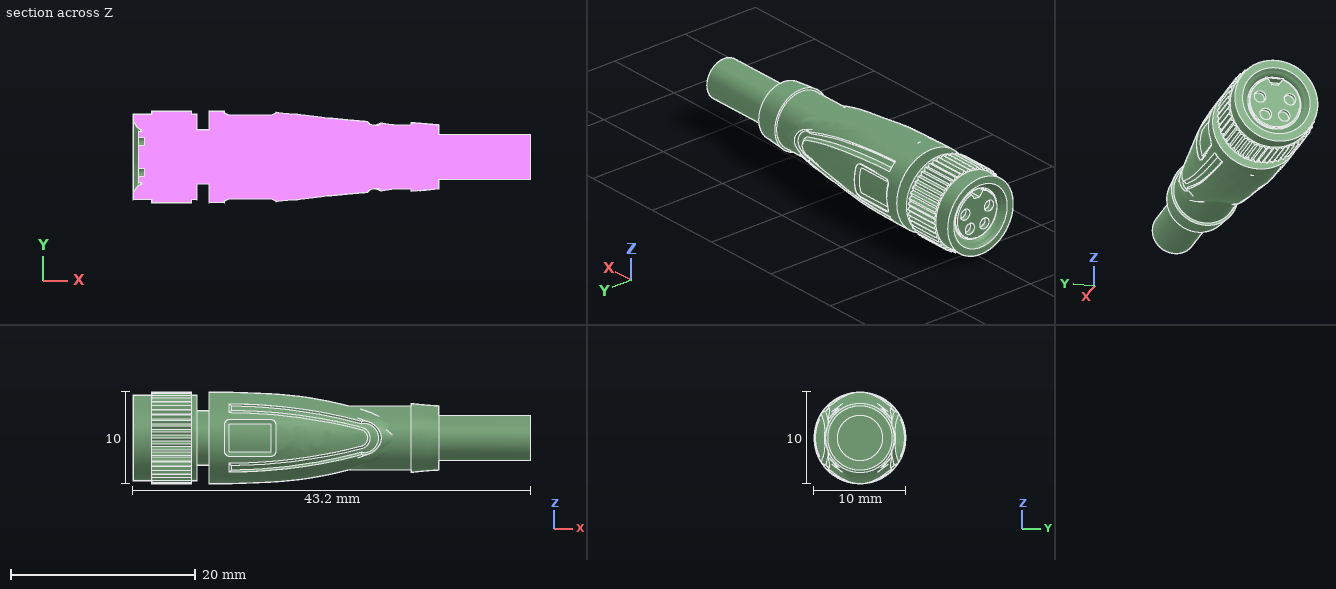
import cadquery as cq
import math


total_length = 43.2
knurl_start = 2.0
knurl_end = 6.35
nut_end = 6.95
grip_start = 8.2
taper_start = 10.32
taper_end = 28.5
collar_start = 30.2
cable_start = 33.2

body_radius = 10.0 / 2
nut_radius = 4.65
neck_radius = 3.0
tube_radius = 3.5
collar_radius = 3.75
cable_radius = 2.45

tooth_count = 48
tooth_root_radius = 4.7

mouth_radius = 3.8
lip_radius = 3.5
lip_depth = 0.25
lip_inner_radius = 3.0
lip_end_depth = 0.78
lip_bulge = 0.6
insert_radius = 2.8
insert_depth = 0.55
gap_depth = 0.9
pin_hole_radius = 0.65
pin_hole_depth = 0.65
pin_positions = [(1.7, 0.5), (-1.7, 0.5), (1.05, -1.43), (-1.05, -1.43)]
keyway_depth = 1.73
key_top = 2.9
key_bottom = 2.05
key_top_half_width = 1.0
key_bottom_half_width = 0.35

tip_side_radius = tube_radius - 0.05
tip_crest_drop = 0.015

grip_sections = [
    (taper_start, body_radius, body_radius, 0.1, 0.17),
    (12.1, 4.95, 4.92, 0.3, 0.7),
    (14.45, 4.92, 4.85, 0.6, 1.15),
    (20.75, 4.3, 4.1, 1.35, 2.7),
    (24.62, 3.95, 3.15, 1.6, 3.33),
    (taper_end, tip_side_radius, 2.07, 1.12, tip_side_radius - tip_crest_drop),
]

tube_blend = 0.15
tube_seam_start = 21.6

cutter_reach = body_radius + 0.45

groove_depth = 0.25
groove_wall_slope = 0.35
groove_middle = 17.93
groove_bend = 24.8
groove_outer = (3.7, 3.2, 1.85, 27.0)
groove_inner = (2.7, 2.2, 0.8, 25.4)

badge_floor_radius = 4.6
badge_center = 12.7
badge_length = 5.6
badge_height = 4.0
badge_corner = 0.6
badge_wall_rise = 0.25
badge_wall_run = 0.5


def cylinder(start, end, radius):
    return cq.Workplane("YZ", origin=(start, 0, 0)).circle(radius).extrude(end - start)


def knurl():
    half_pitch = math.pi / tooth_count
    points = []
    for i in range(2 * tooth_count):
        radius = tooth_root_radius if i % 2 else body_radius
        points.append((radius * math.cos(i * half_pitch), radius * math.sin(i * half_pitch)))
    outline = cq.Workplane("YZ", origin=(knurl_start, 0, 0)).polyline(points).close()
    return outline.extrude(knurl_end - knurl_start)


def grip_wire(x, side_radius, flat_height, flat_half, arc_half):
    """Flat top and bottom, round sides, and a Bezier blend tangent to both at each corner."""
    arc_z = math.sqrt(side_radius**2 - arc_half**2)
    corner_y = (side_radius**2 - flat_height * arc_z) / arc_half
    wire = (
        cq.Workplane("YZ", origin=(x, 0, 0))
        .moveTo(-flat_half, flat_height)
        .lineTo(flat_half, flat_height)
        .bezier([(flat_half, flat_height), (corner_y, flat_height), (arc_half, arc_z)])
        .threePointArc((side_radius, 0), (arc_half, -arc_z))
        .bezier([(arc_half, -arc_z), (corner_y, -flat_height), (flat_half, -flat_height)])
        .lineTo(-flat_half, -flat_height)
        .bezier([(-flat_half, -flat_height), (-corner_y, -flat_height), (-arc_half, -arc_z)])
        .threePointArc((-side_radius, 0), (-arc_half, arc_z))
        .bezier([(-arc_half, arc_z), (-corner_y, flat_height), (-flat_half, flat_height)])
        .close()
    )
    return wire.val()


def tapered_grip():
    wires = [grip_wire(*section) for section in grip_sections]
    return cq.Workplane(cq.Solid.makeLoft(wires))


def panel_prism(start_half, middle_half, bend_half, tip):
    """Tongue-shaped prism from the axis out to the -Y side, rounded at its narrow end."""
    return (
        cq.Workplane("XZ")
        .moveTo(taper_start, start_half)
        .threePointArc((groove_middle, middle_half), (groove_bend, bend_half))
        .threePointArc((tip, 0), (groove_bend, -bend_half))
        .threePointArc((groove_middle, -middle_half), (taper_start, -start_half))
        .close()
        .extrude(cutter_reach)
    )


def panel_grooves():
    ring = panel_prism(*groove_outer).cut(panel_prism(*groove_inner))
    floor_profile = [(x, side_radius - groove_depth) for x, side_radius, *_ in grip_sections]
    core = (
        cq.Workplane("XY")
        .moveTo(taper_start, 0)
        .lineTo(*floor_profile[0])
        .spline(floor_profile[1:], includeCurrent=True)
        .lineTo(taper_end, 0)
        .close()
        .revolve(360, (0, 0, 0), (1, 0, 0))
    )
    groove = ring.cut(core)
    groove = groove.faces(cq.selectors.TypeSelector("REVOLUTION")).edges().chamfer(groove_wall_slope)
    return groove.union(groove.mirror("XZ"))


def badge_pockets():
    rim = cq.Sketch().rect(badge_length, badge_height).vertices().fillet(badge_corner)
    block = cq.Workplane("XZ", origin=(badge_center, 0, 0)).placeSketch(rim).extrude(cutter_reach)
    pocket = block.cut(cylinder(grip_start, taper_end, badge_floor_radius))
    pocket = pocket.faces(">Y").edges().chamfer(badge_wall_run, badge_wall_rise)
    return pocket.union(pocket.mirror("XZ"))


def socket():
    """Everything removed from the front face around and inside the contact insert."""
    lip_middle = (
        lip_end_depth - (lip_end_depth - lip_depth) * lip_bulge,
        lip_radius - (lip_radius - lip_inner_radius) * lip_bulge,
    )
    mouth = (
        cq.Workplane("XY")
        .moveTo(0, 0)
        .lineTo(0, mouth_radius)
        .lineTo(lip_depth, lip_radius)
        .threePointArc(lip_middle, (lip_end_depth, lip_inner_radius))
        .lineTo(gap_depth, lip_inner_radius)
        .lineTo(gap_depth, insert_radius)
        .lineTo(insert_depth, insert_radius)
        .lineTo(insert_depth, 0)
        .close()
        .revolve(360, (0, 0, 0), (1, 0, 0))
    )
    face = cq.Workplane("YZ", origin=(insert_depth, 0, 0))
    pin_holes = face.pushPoints(pin_positions).circle(pin_hole_radius).extrude(pin_hole_depth)
    keyway = (
        face.moveTo(-key_top_half_width, key_top)
        .lineTo(key_top_half_width, key_top)
        .lineTo(key_bottom_half_width, key_bottom)
        .lineTo(-key_bottom_half_width, key_bottom)
        .close()
        .extrude(keyway_depth)
    )
    return mouth.union(pin_holes).union(keyway)


def strain_collar():
    return (
        cq.Workplane("XY")
        .moveTo(collar_start, 0)
        .lineTo(collar_start, collar_radius)
        .lineTo(cable_start, tube_radius)
        .lineTo(cable_start, 0)
        .close()
        .revolve(360, (0, 0, 0), (1, 0, 0))
    )


nut = cylinder(0, nut_end, nut_radius).union(knurl()).cut(socket())
tube = cylinder(taper_start, collar_start, tube_radius)
grip = cylinder(grip_start, taper_start, body_radius).union(tapered_grip()).union(tube)
tube_seam = cq.selectors.BoxSelector(
    (tube_seam_start, -cutter_reach, -cutter_reach),
    (taper_end, cutter_reach, cutter_reach),
    boundingbox=True,
)
grip = grip.edges(tube_seam).fillet(tube_blend)
grip = grip.cut(panel_grooves()).cut(badge_pockets())

result = (
    nut.union(cylinder(nut_end, grip_start, neck_radius))
    .union(grip)
    .union(strain_collar())
    .union(cylinder(cable_start, total_length, cable_radius))
)